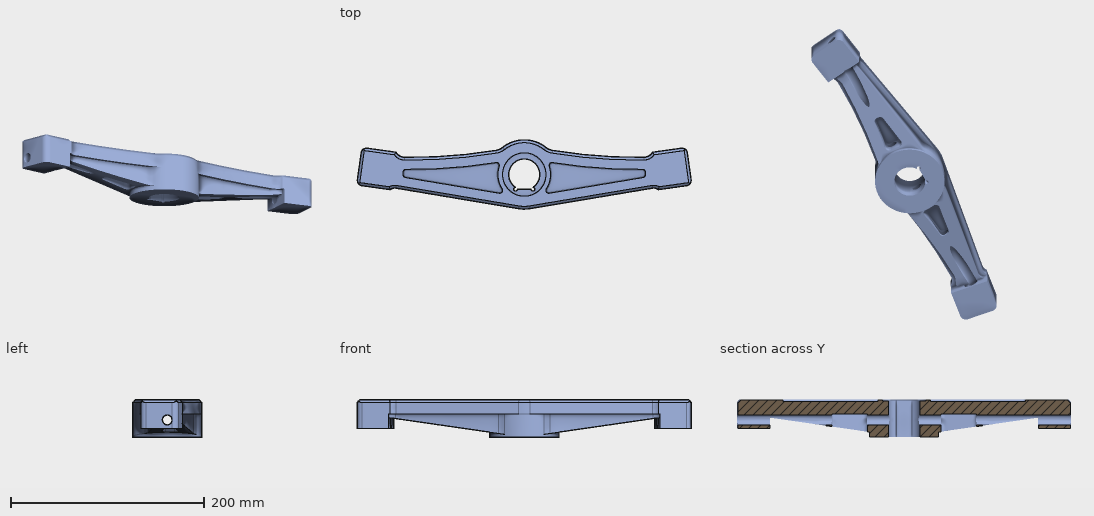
import math
import cadquery as cq

overall_length = 345.98
total_height = 39.0
plate_thickness = 15.0
pad_height = 30.0
edge_chamfer = 3.0

hub_radius = 36.0
hub_blend_radius = 15.0
bore_radius = 16.0
bore_seat_y = -15.1
bore_seat_half_width = 9.0
bore_relief_radius = 1.9
recess_radius = 22.5
recess_depth = 1.0

pad_angle = math.radians(8.0)
pad_inner_along = 137.0
pad_across_high = 4.5
pad_across_low = -35.0
pad_corner_radius = 6.0

waist_x = -117.0
waist_y = 17.95
waist_arc_radius = 540.0
taper_angle = math.radians(9.5)
upper_neck_radius = 10.0
upper_neck_center_x = -124.0
lower_neck_radius = 7.0

web_inset = 4.9
web_neck_radius = 6.0
web_upper_blend_radius = 10.0
web_depth_at_pad = 19.4
web_depth_at_hub = 33.7
web_pad_x = -135.0

top_pocket_inset = 12.6
top_pocket_hub_radius = 27.3
top_pocket_end_x = -125.5
top_pocket_depth = 1.5
top_pocket_corner = 3.0
top_pocket_floor_fillet = 0.8
under_pocket_inset = 17.0
under_pocket_hub_radius = 38.5
under_pocket_end_x = -75.0
under_pocket_corner = 4.0

cross_hole_diameter = 10.0
cross_hole_depth = 21.0
spot_face_diameter = 19.0
spot_face_x = -138.8

plate_bottom_z = total_height - plate_thickness
pad_bottom_z = total_height - pad_height
cross_hole_z = total_height - cross_hole_depth
waist_center = (waist_x, waist_y + waist_arc_radius)
pad_corner_setback = pad_corner_radius * (math.sin(pad_angle) + math.cos(pad_angle) - 1)


def pad_point(along, across):
    """Plan point given in the left pad's swept-back directions."""
    x = -along * math.cos(pad_angle) + across * math.sin(pad_angle)
    y = along * math.sin(pad_angle) + across * math.cos(pad_angle)
    return (x, y)


pad_outer_along = (
    overall_length / 2 + pad_across_low * math.sin(pad_angle) + pad_corner_setback
) / math.cos(pad_angle)


def towards(start, target, distance):
    """Point at a distance from start on the ray through target."""
    span = math.dist(start, target)
    return tuple(s + (t - s) * distance / span for s, t in zip(start, target))


def circle_crossing(center_a, radius_a, center_b, radius_b):
    """Crossing of two circles that lies to the left of the direction from a to b."""
    span = math.dist(center_a, center_b)
    reach = (radius_a**2 - radius_b**2 + span**2) / (2 * span)
    rise = math.sqrt(radius_a**2 - reach**2)
    ux = (center_b[0] - center_a[0]) / span
    uy = (center_b[1] - center_a[1]) / span
    return (center_a[0] + reach * ux - rise * uy, center_a[1] + reach * uy + rise * ux)


def taper_point(x, inset):
    """Point on the straight -Y edge of the arm, moved inwards by inset."""
    drop = (hub_radius - inset) / math.cos(taper_angle)
    return (x, -drop - x * math.tan(taper_angle))


def waist_point(x, inset):
    """Point on the concave +Y edge of the arm, moved inwards by inset."""
    radius = waist_arc_radius + inset
    return (x, waist_center[1] - math.sqrt(radius**2 - (x - waist_x) ** 2))


def lower_neck_center(inset, radius):
    """Centre of an arc touching both the pad's inner plane and the straight arm edge."""
    offset_drop = taper_point(0, inset - radius)[1]
    target = pad_inner_along - radius
    run = math.cos(pad_angle) + math.tan(taper_angle) * math.sin(pad_angle)
    x = (offset_drop * math.sin(pad_angle) - target) / run
    return taper_point(x, inset - radius)


def neck_end_on_pad(center, radius, across):
    """Point where a neck arc meets a pad side."""
    center_along = -center[0] * math.cos(pad_angle) + center[1] * math.sin(pad_angle)
    center_across = center[0] * math.sin(pad_angle) + center[1] * math.cos(pad_angle)
    reach = math.sqrt(radius**2 - (across - center_across) ** 2)
    return pad_point(center_along + reach, across)


def taper_foot(center, radius):
    """Point where an arc of this centre and radius touches the straight arm edge."""
    return (center[0] + radius * math.sin(taper_angle), center[1] + radius * math.cos(taper_angle))


def start_at_hub(inset, blend_radius):
    """Outline from the hub's +Y point round the hub and through the blend to the waist arc."""
    waist_radius = waist_arc_radius + inset
    blend = circle_crossing((0, 0), hub_radius + blend_radius, waist_center, waist_radius - blend_radius)
    return (
        cq.Workplane("XY")
        .moveTo(0, hub_radius)
        .radiusArc(towards((0, 0), blend, hub_radius), -hub_radius)
        .radiusArc(towards(waist_center, blend, waist_radius), blend_radius)
    )


def plate_half():
    """Left half of the top plate, with sharp edges."""
    upper_center = waist_point(upper_neck_center_x, -upper_neck_radius)
    waist_end = towards(waist_center, upper_center, waist_arc_radius)
    upper_end = neck_end_on_pad(upper_center, upper_neck_radius, pad_across_high)
    lower_center = lower_neck_center(0, lower_neck_radius)
    lower_end = neck_end_on_pad(lower_center, lower_neck_radius, pad_across_low)
    nose_start = taper_point(-hub_radius * math.sin(taper_angle), 0)
    return (
        start_at_hub(0, hub_blend_radius)
        .radiusArc(waist_end, waist_arc_radius)
        .radiusArc(upper_end, upper_neck_radius)
        .lineTo(*pad_point(pad_outer_along, pad_across_high))
        .lineTo(*pad_point(pad_outer_along, pad_across_low))
        .lineTo(*lower_end)
        .radiusArc(taper_foot(lower_center, lower_neck_radius), lower_neck_radius)
        .lineTo(*nose_start)
        .radiusArc((0, -hub_radius), -hub_radius)
        .close()
        .extrude(plate_thickness)
        .translate((0, 0, plate_bottom_z))
    )


def pad_block():
    """Left end pad below the plate, with a spot face on its inner side."""
    corners = [
        pad_point(pad_inner_along, pad_across_high),
        pad_point(pad_outer_along, pad_across_high),
        pad_point(pad_outer_along, pad_across_low),
        pad_point(pad_inner_along, pad_across_low),
    ]
    block = cq.Workplane("XY").polyline(corners).close().extrude(pad_height - plate_thickness)
    spot_face = (
        cq.Workplane("YZ")
        .center(0, cross_hole_z)
        .circle(spot_face_diameter / 2)
        .extrude(-spot_face_x)
        .translate((spot_face_x, 0, 0))
    )
    return block.translate((0, 0, pad_bottom_z)).cut(spot_face)


def pocket_tool(inset, hub_clearance, end_x, corner, height):
    """Left arm pocket that follows both arm edges and curves round the hub."""
    upper_hub = circle_crossing((0, 0), hub_clearance, waist_center, waist_arc_radius + inset)
    swing = math.acos((hub_radius - inset) / hub_clearance) + taper_angle
    lower_hub = (-hub_clearance * math.sin(swing), -hub_clearance * math.cos(swing))
    return (
        cq.Workplane("XY")
        .moveTo(*upper_hub)
        .radiusArc(waist_point(end_x, inset), waist_arc_radius + inset)
        .lineTo(*taper_point(end_x, inset))
        .lineTo(*lower_hub)
        .radiusArc(upper_hub, hub_clearance)
        .close()
        .extrude(height)
        .edges("|Z")
        .fillet(corner)
    )


def web_bottom_z(x):
    """Level of the sloping underside of the left web."""
    slope = (web_depth_at_pad - web_depth_at_hub) / (-hub_radius - web_pad_x)
    return total_height - web_depth_at_pad + slope * (x - web_pad_x)


def web_half():
    """Left web under the plate: inset from the plate edge, deepening to the hub, hollow inside."""
    neck_center = lower_neck_center(web_inset, web_neck_radius)
    neck_start = (
        neck_center[0] - web_neck_radius * math.cos(pad_angle),
        neck_center[1] + web_neck_radius * math.sin(pad_angle),
    )
    blend_reach = hub_radius + hub_blend_radius
    swing = math.acos((blend_reach - web_inset) / blend_reach) + taper_angle
    blend = (-blend_reach * math.sin(swing), -blend_reach * math.cos(swing))
    buried_along = pad_inner_along + web_neck_radius
    outline = (
        start_at_hub(web_inset, web_upper_blend_radius)
        .radiusArc(waist_point(upper_neck_center_x, web_inset), waist_arc_radius + web_inset)
        .lineTo(*pad_point(buried_along, 0))
        .lineTo(*pad_point(buried_along, pad_across_low / 2))
        .lineTo(*neck_start)
        .radiusArc(taper_foot(neck_center, web_neck_radius), web_neck_radius)
        .lineTo(*taper_foot(blend, hub_blend_radius))
        .radiusArc(towards((0, 0), blend, hub_radius), hub_blend_radius)
        .lineTo(0, 0)
        .close()
        .extrude(total_height)
    )
    outer_x = -overall_length / 2
    side = (
        cq.Workplane("XZ")
        .moveTo(outer_x, plate_bottom_z)
        .lineTo(outer_x, web_bottom_z(outer_x))
        .lineTo(0, web_bottom_z(0))
        .lineTo(0, plate_bottom_z)
        .close()
        .extrude(hub_radius, both=True)
    )
    hollow = pocket_tool(
        under_pocket_inset, under_pocket_hub_radius, under_pocket_end_x, under_pocket_corner, plate_bottom_z
    )
    return outline.intersect(side).cut(hollow)


def bore_tool():
    """Hub bore with a flat-bottomed seat on its -Y side, relieved at both seat corners."""
    bore = cq.Workplane("XY").circle(bore_radius).extrude(total_height)
    beyond_seat = (
        cq.Workplane("XY")
        .rect(2 * bore_radius, bore_radius)
        .extrude(total_height)
        .translate((0, bore_seat_y - bore_radius / 2, 0))
    )
    seat = (
        cq.Workplane("XY")
        .rect(2 * bore_seat_half_width, -bore_seat_y)
        .extrude(total_height)
        .translate((0, bore_seat_y / 2, 0))
    )
    reliefs = (
        cq.Workplane("XY")
        .pushPoints([(side * bore_seat_half_width, bore_seat_y) for side in (-1, 1)])
        .circle(bore_relief_radius)
        .extrude(total_height)
    )
    return bore.cut(beyond_seat).union(seat).union(reliefs)


def both_sides(half):
    """A left half joined to its mirror image on the right."""
    return half.union(half.mirror("YZ"))


def round_pad_corners(body):
    """Round the two outer upright corners of each pad."""
    pick = pad_corner_radius / 2
    for side in (-1, 1):
        for across in (pad_across_high, pad_across_low):
            x, y = pad_point(pad_outer_along, across)
            low = (side * x - pick, y - pick, 0)
            high = (side * x + pick, y + pick, total_height)
            corner = cq.selectors.BoxSelector(low, high)
            body = body.edges("|Z").edges(corner).fillet(pad_corner_radius)
    return body


def top_pocket():
    """Shallow left pocket in the top of the plate, with a rounded floor edge."""
    tool = pocket_tool(
        top_pocket_inset, top_pocket_hub_radius, top_pocket_end_x, top_pocket_corner, top_pocket_depth
    )
    tool = tool.faces("<Z").edges().fillet(top_pocket_floor_fillet)
    return tool.translate((0, 0, total_height - top_pocket_depth))


def hub_recess():
    """Shallow round recess round the top of the bore."""
    recess = cq.Workplane("XY").circle(recess_radius).extrude(recess_depth)
    return recess.translate((0, 0, total_height - recess_depth))


def cross_hole():
    """Hole along X through both pads and the hub."""
    return (
        cq.Workplane("YZ")
        .center(0, cross_hole_z)
        .circle(cross_hole_diameter / 2)
        .extrude(overall_length / 2, both=True)
    )


plate = both_sides(plate_half()).clean().faces(">Z").edges().chamfer(edge_chamfer)
hub = cq.Workplane("XY").circle(hub_radius).extrude(plate_bottom_z)
under_body = both_sides(web_half().union(pad_block())).union(hub)
body = round_pad_corners(plate.union(under_body).clean())
result = (
    body.cut(both_sides(top_pocket()))
    .cut(hub_recess())
    .cut(bore_tool())
    .cut(cross_hole())
)